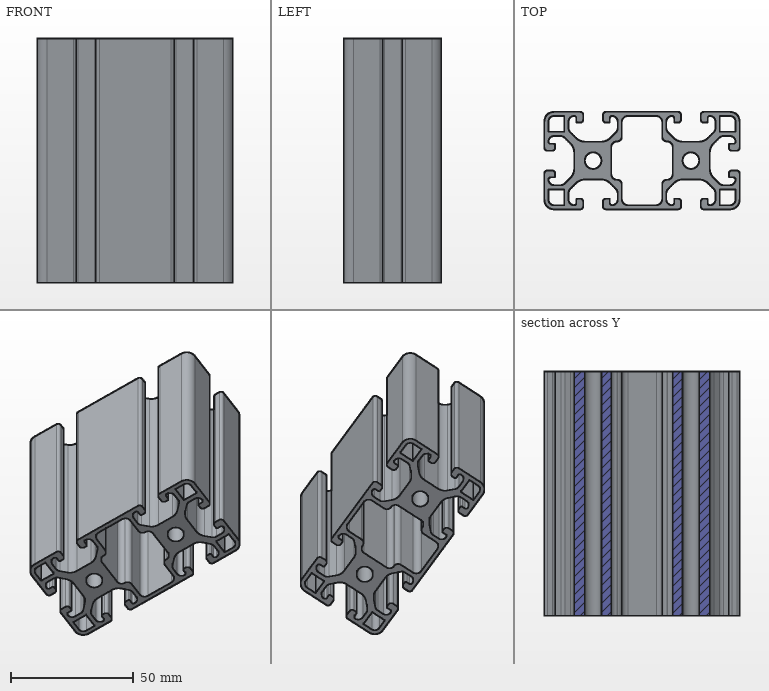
import cadquery as cq

module = 40.0
length = 100.0
width = 2 * module
half_module = module / 2
corner_radius = 4.0
wall = 1.8

slot_depth = 12.2
slot_half_opening = 4.0
slot_half_width = 10.0
slot_chamfer = 4.5
slot_wall_blend = 2.5
slot_floor_blend = 5.0
lip_depth = 4.5
lip_thickness = 2.9
lip_radius = 1.3
lip_inside_radius = 0.5
groove_outer_radius = 2.2
groove_inner_radius = 0.8

bore_diameter = 6.7
box_side = 6.3
box_radius = 2.2
cavity_corner_radius = 2.4
waist_half_width = 12.5
waist_half_height = 7.8
waist_shoulder_radius = 2.0
waist_corner_radius = 2.2

pick = 0.01


def vertical_edges_at(solid, points):
    """Select the Z edges that pass through the given (x, y) points and their mirror images in X and Y."""

    def passes_through_a_point(edge):
        centre = edge.Center()
        return any(abs(abs(centre.x) - x) < pick and abs(abs(centre.y) - y) < pick for x, y in points)

    return solid.edges("|Z").filter(passes_through_a_point)


def slot_cutter():
    """T-slot with its mouth on the line y = 0, centred on x = 0, reaching down to -slot_depth."""
    lip_inside = slot_half_opening + lip_thickness
    chamfer_start = slot_depth - slot_chamfer
    chamfer_end = slot_half_width - slot_chamfer
    right_half = [
        (slot_half_opening, 0),
        (slot_half_opening, -lip_depth),
        (lip_inside, -lip_depth),
        (lip_inside, -wall),
        (slot_half_width, -wall),
        (slot_half_width, -chamfer_start),
        (chamfer_end, -slot_depth),
    ]
    left_half = [(-x, y) for x, y in reversed(right_half)]
    cutter = cq.Workplane("XY").polyline(right_half + left_half).close().extrude(length)

    rounded_corners = [
        (lip_radius, [(slot_half_opening, lip_depth)]),
        (lip_inside_radius, [(lip_inside, lip_depth)]),
        (groove_inner_radius, [(lip_inside, wall)]),
        (groove_outer_radius, [(slot_half_width, wall)]),
        (slot_wall_blend, [(slot_half_width, chamfer_start)]),
        (slot_floor_blend, [(chamfer_end, slot_depth)]),
    ]
    for radius, points in rounded_corners:
        cutter = vertical_edges_at(cutter, points).fillet(radius)
    return cutter


def central_cavity():
    """Tall hollow between the modules, widened at mid-height by a waist that reaches towards the cores."""
    half_width = half_module - slot_half_width - wall
    half_height = half_module - wall
    tall = cq.Workplane("XY").rect(2 * half_width, 2 * half_height).extrude(length)
    waist = cq.Workplane("XY").rect(2 * waist_half_width, 2 * waist_half_height).extrude(length)
    cavity = tall.union(waist)

    rounded_corners = [
        (cavity_corner_radius, (half_width, half_height)),
        (waist_shoulder_radius, (half_width, waist_half_height)),
        (waist_corner_radius, (waist_half_width, waist_half_height)),
    ]
    for radius, point in rounded_corners:
        cavity = vertical_edges_at(cavity, [point]).fillet(radius)
    return cavity


def corner_box(side_x, side_y):
    """Square hollow in one outer corner, rounded only where it follows the outside of the profile."""
    centre_x = side_x * (width / 2 - wall - box_side / 2)
    centre_y = side_y * (half_module - wall - box_side / 2)
    box = cq.Workplane("XY").center(centre_x, centre_y).rect(box_side, box_side).extrude(length)
    outer_corner = [(width / 2 - wall, half_module - wall)]
    return vertical_edges_at(box, outer_corner).fillet(box_radius)


profile = cq.Workplane("XY").rect(width, module).extrude(length).edges("|Z").fillet(corner_radius)

slot = slot_cutter()
slot_mouths = [
    (0, -half_module, half_module),
    (0, half_module, half_module),
    (180, -half_module, -half_module),
    (180, half_module, -half_module),
    (-90, width / 2, 0),
    (90, -width / 2, 0),
]
for turn, x, y in slot_mouths:
    turned_slot = slot.rotate((0, 0, 0), (0, 0, 1), turn)
    profile = profile.cut(turned_slot.translate((x, y, 0)))

mouth_corners = [
    (half_module - slot_half_opening, half_module),
    (half_module + slot_half_opening, half_module),
    (width / 2, slot_half_opening),
]
profile = vertical_edges_at(profile, mouth_corners).fillet(lip_radius)

for side_x in (-1, 1):
    for side_y in (-1, 1):
        profile = profile.cut(corner_box(side_x, side_y))
profile = profile.cut(central_cavity())
bores = (
    cq.Workplane("XY")
    .pushPoints([(-half_module, 0), (half_module, 0)])
    .circle(bore_diameter / 2)
    .extrude(length)
)
result = profile.cut(bores)